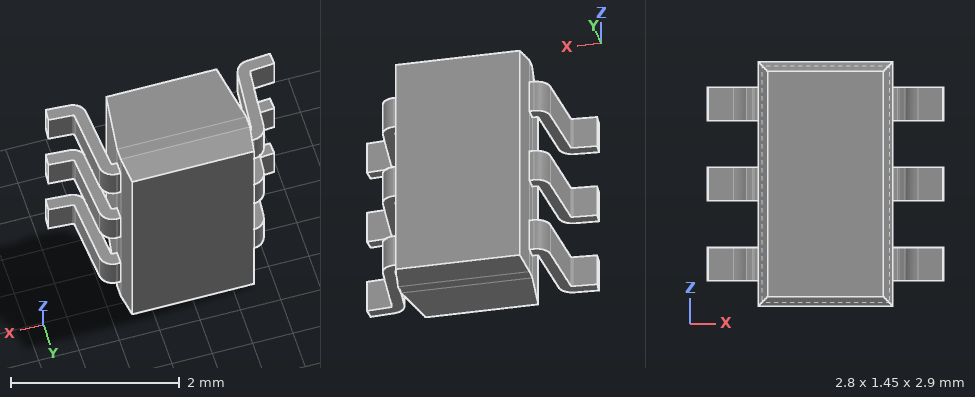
import cadquery as cq
import math


overall_height = 1.45
lead_span = 2.8

body_width = 1.6
body_length = 2.9
standoff = 0.15
upper_share = 0.25
draft_angle = 8.0

lead_thickness = 0.15
lead_width = 0.4
lead_pitch = 0.95
leads_per_side = 3
shoulder_length = 0.05
inner_bend_radius = 0.02
outer_bend_radius = inner_bend_radius + lead_thickness
leg_angle = math.radians(5)
foot_angle = math.radians(4)

band_top = overall_height - upper_share * (overall_height - standoff)
band_bottom = band_top - lead_thickness


def make_body():
    """Body grown from the band outline, tapering towards its top and its underside."""

    def band_outline(level):
        return cq.Workplane("XZ", origin=(0, level, 0)).rect(body_width, body_length)

    upper = band_outline(band_top).extrude(band_top - overall_height, taper=draft_angle)
    band = band_outline(band_top).extrude(lead_thickness)
    lower = band_outline(band_bottom).extrude(band_bottom - standoff, taper=draft_angle)
    return band.union(upper).union(lower)


def lead_profile():
    """Closed XY outline of a lead on the +X side, from the body face to the toe."""
    leg_direction = cq.Vector(math.sin(leg_angle), -math.cos(leg_angle))
    leg_normal = cq.Vector(math.cos(leg_angle), math.sin(leg_angle))
    foot_direction = cq.Vector(math.cos(foot_angle), -math.sin(foot_angle))
    foot_normal = cq.Vector(math.sin(foot_angle), math.cos(foot_angle))
    up = cq.Vector(0, 1)

    body_face = body_width / 2
    toe = lead_span / 2
    hip = cq.Vector(body_face + shoulder_length, band_bottom - inner_bend_radius)

    heel_start = hip + leg_normal * (outer_bend_radius + inner_bend_radius)
    toe_reach = toe - heel_start.x + inner_bend_radius * math.sin(foot_angle)
    drop = heel_start.y - outer_bend_radius * math.cos(foot_angle) - toe_reach * math.tan(foot_angle)
    leg_length = drop / (math.cos(leg_angle) - math.tan(foot_angle) * math.sin(leg_angle))
    heel = heel_start + leg_direction * leg_length

    foot_upper_start = heel - foot_normal * inner_bend_radius
    foot_length = (toe - foot_upper_start.x) / math.cos(foot_angle)
    toe_upper = foot_upper_start + foot_direction * foot_length
    toe_lower = toe_upper - foot_normal * lead_thickness

    hip_middle = (up + leg_normal).normalized()
    heel_middle = (leg_normal + foot_normal).normalized() * -1

    def xy(point):
        return point.x, point.y

    return (
        cq.Workplane("XY")
        .moveTo(body_face, band_top)
        .lineTo(hip.x, band_top)
        .threePointArc(xy(hip + hip_middle * outer_bend_radius), xy(hip + leg_normal * outer_bend_radius))
        .lineTo(*xy(heel - leg_normal * inner_bend_radius))
        .threePointArc(xy(heel + heel_middle * inner_bend_radius), xy(foot_upper_start))
        .lineTo(*xy(toe_upper))
        .lineTo(*xy(toe_lower))
        .lineTo(*xy(heel - foot_normal * outer_bend_radius))
        .threePointArc(xy(heel + heel_middle * outer_bend_radius), xy(heel - leg_normal * outer_bend_radius))
        .lineTo(*xy(hip + leg_normal * inner_bend_radius))
        .threePointArc(xy(hip + hip_middle * inner_bend_radius), (hip.x, band_bottom))
        .lineTo(body_face, band_bottom)
        .close()
    )


def make_leads():
    """One separate lead per position, in mirrored pairs on the two X sides."""
    lead = lead_profile().extrude(lead_width / 2, both=True)
    leads = []
    for index in range(leads_per_side):
        height = (index - (leads_per_side - 1) / 2) * lead_pitch
        right_lead = lead.translate((0, 0, height))
        leads += [right_lead.val(), right_lead.mirror("YZ").val()]
    return leads


body = make_body()
leads = make_leads()

result = cq.Compound.makeCompound([body.val(), *leads])